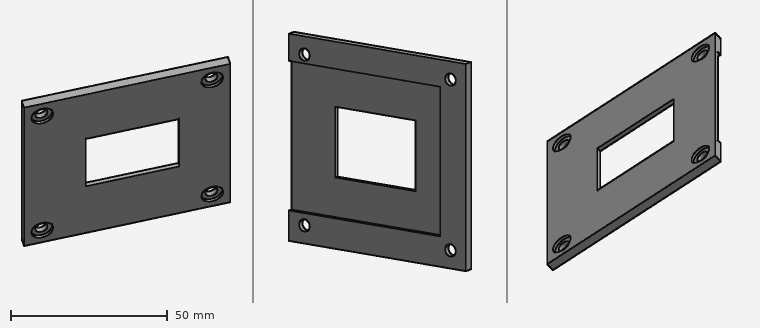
import cadquery as cq

thickness = 3.0
side = 68.3
half_side = side / 2
front_x = -thickness / 2

hole_diameter = 4.0
counterbore_diameter = 7.2
counterbore_depth = 1.0
hole_edge_distance = 6.0
hole_spacing = side - 2 * hole_edge_distance

pocket_depth = 1.5
pocket_length = 58.3
pocket_top_margin = 8.95
pocket_bottom_margin = 10.05

window_width = 30.9
window_height = 23.3
window_edge_distance = 16.85

pocket_height = side - pocket_top_margin - pocket_bottom_margin
pocket_center_y = half_side - pocket_length / 2
pocket_center_z = (pocket_bottom_margin - pocket_top_margin) / 2
window_center_y = half_side - window_edge_distance - window_width / 2

plate = cq.Workplane("XY").box(thickness, side, side)

pocket = (
    cq.Workplane("XY")
    .box(pocket_depth, pocket_length, pocket_height)
    .translate((front_x + pocket_depth / 2, pocket_center_y, pocket_center_z))
)

window = (
    cq.Workplane("XY")
    .box(thickness, window_width, window_height)
    .translate((0, window_center_y, pocket_center_z))
)


def corner_cylinders(diameter, start_x, length):
    """Four cylinders along +X, one at each screw position."""
    return (
        cq.Workplane("YZ", origin=(start_x, 0, 0))
        .rect(hole_spacing, hole_spacing, forConstruction=True)
        .vertices()
        .circle(diameter / 2)
        .extrude(length)
    )


holes = corner_cylinders(hole_diameter, front_x, thickness)
counterbores = corner_cylinders(counterbore_diameter, thickness / 2 - counterbore_depth, counterbore_depth)

result = plate.cut(pocket).cut(window).cut(holes).cut(counterbores)